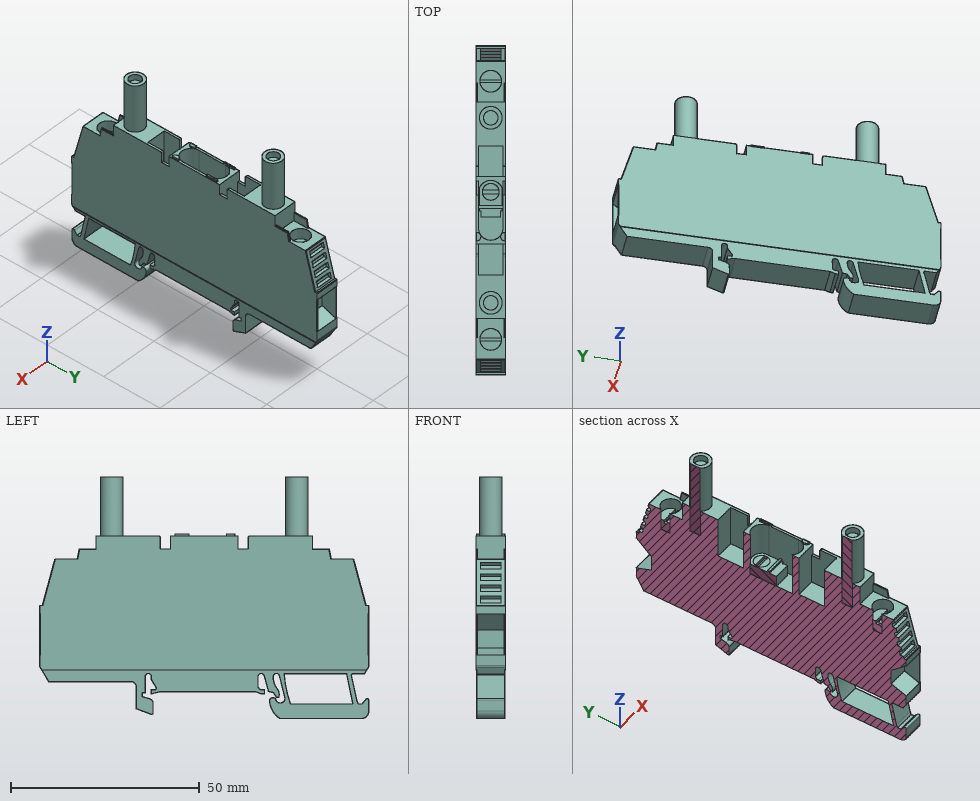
import cadquery as cq

LENGTH = 87.2
THICKNESS = 7.9
HEIGHT = 64.0
HALF_LENGTH = LENGTH / 2
HALF_THICKNESS = THICKNESS / 2
ENDS = (-1, 1)
SIDES = (-1, 1)
MARGIN = 0.1

BODY_BASE_Z = 12.9
CORNER_Z = 13.8
CORNER_SLOPE = 0.6
CORNER_RADIUS = 0.9
SHOULDER_Z = 30.0
SHOULDER_DEPTH = 0.7
END_TOP_Y = 39.6
END_TOP_Z = 42.3
GUARD_TOP_Z = 45.0
GUARD_BASE_Y = 33.65
GUARD_TOP_Y = 33.1
BLOCK_Y = 28.7
BODY_TOP_Z = 48.4
GUARD_WALL = 0.5
EDGE_CHAMFER = 0.2

SLOT_START_Y = 9.0
SLOT_WIDTH = 2.6
SLOT_CORNER = 0.4
POCKET_END_Y = 17.1
POCKET_WIDTH = 6.45
POCKET_DEPTH = 13.1
WELL_LENGTH = 15.9
WELL_WIDTH = POCKET_WIDTH
WELL_DEPTH = 13.95

GROOVE_COUNT = 4
GROOVE_PITCH = 3.0
GROOVE_TOP_GAP = 1.0
GROOVE_HEIGHT = 1.75
GROOVE_WIDTH = 5.4
GROOVE_DEPTH = 1.05
GROOVE_BACK_HEIGHT = 1.0

FUNNEL_TOP_Z = 27.7
FUNNEL_BOTTOM_Z = 16.9
FUNNEL_BACK_TOP_Z = 23.45
FUNNEL_BACK_BOTTOM_Z = 18.75
FUNNEL_DEPTH = 4.9
FUNNEL_WIDTH = 7.1

MARK_HEIGHT = 0.5
MARK_OUTER_X = 3.75
MARK_BAR_START_Y = 4.0
MARK_BAR_LENGTH = 3.75
MARK_NUB_Y = -7.0
MARK_NUB_RADIUS = 1.1

FOOT_THICKNESS = 7.5
WEB_BASE_Z = 11.9
TRAY_Z = 3.9
TRAY_RADIUS = 2.0
HOOK_BASE_Z = 9.8

SOCKET_Y = 24.5
SOCKET_DIAMETER = 6.0
SOCKET_BORE = 3.8
SOCKET_BORE_DEPTH = 1.9
SOCKET_SEAT_DEPTH = 8.7

CLAMP_SCREW_Y = 34.2
CLAMP_SCREW_DIAMETER = 5.75
CLAMP_HOLE_DEPTH = 7.0
CLAMP_SCREW_LENGTH = 3.5
CLAMP_SLOT_WIDTH = 0.8

SLIDER_SCREW_Y = 4.9
SLIDER_SCREW_DIAMETER = 4.45
SLIDER_SCREW_LENGTH = 2.6
SLIDER_SLOT_WIDTH = 1.05
SCREW_SLOT_DEPTH = 0.9

SLIDER_HEIGHT = 3.5
SLIDER_WIDTH = 5.9
SLIDER_BACK_Y = WELL_LENGTH / 2
SLIDER_FRONT_Y = -0.2
SLIDER_RIB_Y = 0.9
SLIDER_RIB_WIDTH = 0.7
SLIDER_RIB_HEIGHT = 0.5
TONGUE_WIDTH = 5.1
TONGUE_END_Y = -1.75

WELL_FLOOR_Z = BODY_TOP_Z - WELL_DEPTH


def prism(outline, thickness):
    """Extrude a closed Y-Z outline evenly about X = 0."""
    return outline.extrude(thickness / 2, both=True)


def box(width, y_start, y_end, z_start, z_end):
    """Box centred on X = 0 between two Y and two Z levels."""
    return cq.Workplane("XY").box(width, abs(y_end - y_start), z_end - z_start).translate(
        (0, (y_start + y_end) / 2, (z_start + z_end) / 2)
    )


def cylinder(diameter, x, y, z_start, z_end):
    """Upright cylinder between two Z levels."""
    return cq.Workplane("XY", origin=(x, y, z_start)).circle(diameter / 2).extrude(z_end - z_start)


def stadium(length, width, z_start, z_end):
    """Upright round-ended bar lying along Y, centred on the origin."""
    return cq.Workplane("XY", origin=(0, 0, z_start)).slot2D(length, width, 90).extrude(z_end - z_start)


def edges_within(y_start, y_end, z_start, z_end):
    """Selector for edges whose middle lies between two Y and two Z levels."""
    return cq.selectors.BoxSelector(
        (-THICKNESS, min(y_start, y_end) - MARGIN, z_start - MARGIN),
        (THICKNESS, max(y_start, y_end) + MARGIN, z_end + MARGIN),
    )


def lower_corner_y(z):
    """Distance of the sloping lower end corner from the centre at height z."""
    return HALF_LENGTH - CORNER_SLOPE * (CORNER_Z - z)


def body_block():
    """Main body with a sloping shoulder at each end and chamfered slope and guard edges."""
    half = [
        (lower_corner_y(BODY_BASE_Z), BODY_BASE_Z),
        (HALF_LENGTH, CORNER_Z),
        (HALF_LENGTH, SHOULDER_Z),
        (HALF_LENGTH - SHOULDER_DEPTH, SHOULDER_Z),
        (END_TOP_Y, END_TOP_Z),
        (GUARD_BASE_Y, END_TOP_Z),
        (GUARD_TOP_Y, GUARD_TOP_Z),
        (BLOCK_Y, GUARD_TOP_Z),
        (BLOCK_Y, BODY_TOP_Z),
    ]
    mirrored = [(-y, z) for y, z in reversed(half)]
    block = prism(cq.Workplane("YZ").polyline(half + mirrored).close(), THICKNESS)
    lower_corners = edges_within(-LENGTH, LENGTH, CORNER_Z, CORNER_Z)
    block = block.edges("|X").edges(lower_corners).fillet(CORNER_RADIUS)
    shoulders = edges_within(-LENGTH, LENGTH, SHOULDER_Z, SHOULDER_Z)
    block = block.edges("|X").edges(shoulders).edges(">Y or <Y").chamfer(EDGE_CHAMFER)
    slope_middle_z = (SHOULDER_Z + END_TOP_Z) / 2
    guard_middle_z = (END_TOP_Z + GUARD_TOP_Z) / 2
    for end in ENDS:
        slope_edges = edges_within(end * END_TOP_Y, end * HALF_LENGTH, slope_middle_z, END_TOP_Z)
        block = block.edges(slope_edges).chamfer(EDGE_CHAMFER)
        guard_edges = edges_within(end * BLOCK_Y, end * GUARD_BASE_Y, guard_middle_z, GUARD_TOP_Z)
        block = block.edges("not |X").edges(guard_edges).chamfer(EDGE_CHAMFER)
    return block


def rail_foot():
    """Clip foot: fixed hook, rail seat, sprung latch arm and release tray, with the tray window cut out."""
    outline = (
        cq.Workplane("YZ")
        .moveTo(lower_corner_y(BODY_BASE_Z), BODY_BASE_Z)
        .lineTo(lower_corner_y(HOOK_BASE_Z), HOOK_BASE_Z)
        .lineTo(19.35, HOOK_BASE_Z)
        .radiusArc((18.05, 8.5), -1.3)
        .lineTo(18.05, 2.6)
        .lineTo(13.9, 1.05)
        .lineTo(13.5, 1.3)
        .lineTo(13.5, 4.4)
        .threePointArc((13.95, 5.0), (14.6, 5.3))
        .lineTo(16.4, 5.8)
        .lineTo(16.4, 6.8)
        .lineTo(15.6, 6.8)
        .lineTo(15.6, 11.3)
        .threePointArc((14.8, 11.95), (14.0, 11.3))
        .lineTo(14.0, 10.4)
        .lineTo(12.7, 8.2)
        .lineTo(12.8, 7.7)
        .lineTo(14.0, 7.7)
        .lineTo(14.0, 6.5)
        .lineTo(11.95, 7.1)
        .lineTo(-13.7, 7.1)
        .lineTo(-15.1, 6.5)
        .lineTo(-15.95, 6.5)
        .lineTo(-15.95, 7.7)
        .lineTo(-15.2, 7.7)
        .threePointArc((-14.6, 7.9), (-14.3, 8.4))
        .lineTo(-14.3, 11.3)
        .threePointArc((-15.1, 11.95), (-15.9, 11.3))
        .lineTo(-17.0, 7.15)
        .lineTo(-18.3, 6.9)
        .lineTo(-19.1, 5.7)
        .lineTo(-19.8, 5.7)
        .threePointArc((-19.8, 7.0), (-19.2, 8.1))
        .threePointArc((-18.5, 9.6), (-18.3, 11.3))
        .threePointArc((-19.1, 11.95), (-19.9, 11.3))
        .lineTo(-21.4, 5.4)
        .threePointArc((-20.3, 4.2), (-18.9, 5.2))
        .threePointArc((-18.0, 5.6), (-17.3, 4.6))
        .threePointArc((-18.0, 2.3), (-20.05, 0))
        .lineTo(TRAY_RADIUS - HALF_LENGTH, 0)
        .radiusArc((-HALF_LENGTH, TRAY_RADIUS), TRAY_RADIUS)
        .lineTo(-HALF_LENGTH, 4.9)
        .threePointArc((-43.15, 5.3), (-42.7, 5.1))
        .lineTo(-41.8, TRAY_Z)
        .lineTo(-40.8, TRAY_Z)
        .lineTo(-40.45, 4.7)
        .lineTo(-39.0, 11.5)
        .lineTo(-39.15, WEB_BASE_Z)
        .lineTo(-lower_corner_y(WEB_BASE_Z), WEB_BASE_Z)
        .lineTo(-lower_corner_y(BODY_BASE_Z), BODY_BASE_Z)
        .close()
    )
    window = (
        cq.Workplane("YZ")
        .moveTo(-21.2, WEB_BASE_Z)
        .lineTo(-37.7, WEB_BASE_Z)
        .lineTo(-39.3, TRAY_Z)
        .lineTo(-22.8, TRAY_Z)
        .threePointArc((-21.8, 7.7), (-21.2, WEB_BASE_Z))
        .close()
    )
    return prism(outline, FOOT_THICKNESS).cut(prism(window, THICKNESS))


def guard_gap(end):
    """Open space between the two guard walls beside a clamp screw."""
    width = THICKNESS - 2 * GUARD_WALL
    return box(width, end * BLOCK_Y, end * GUARD_BASE_Y, END_TOP_Z, GUARD_TOP_Z)


def marker_pocket(end):
    """Deep pocket in the top, opened sideways by a slot with rounded outer corners."""
    pocket = box(
        POCKET_WIDTH, end * SLOT_START_Y, end * POCKET_END_Y, BODY_TOP_Z - POCKET_DEPTH, BODY_TOP_Z
    )
    near = end * SLOT_START_Y
    far = end * (SLOT_START_Y + SLOT_WIDTH)
    slot_outline = (
        cq.Workplane("YZ")
        .moveTo(near, GUARD_TOP_Z)
        .lineTo(far, GUARD_TOP_Z)
        .lineTo(far, BODY_TOP_Z - SLOT_CORNER)
        .radiusArc((far + end * SLOT_CORNER, BODY_TOP_Z), end * SLOT_CORNER)
        .lineTo(near, BODY_TOP_Z)
        .close()
    )
    return pocket.union(prism(slot_outline, THICKNESS))


def slope_y(z):
    """Y of the -Y slope at height z."""
    fraction = (END_TOP_Z - z) / (END_TOP_Z - SHOULDER_Z)
    return -END_TOP_Y - fraction * (HALF_LENGTH - SHOULDER_DEPTH - END_TOP_Y)


def grip_grooves():
    """Grooves in the -Y slope: level floor, back parallel to the slope, ceiling falling inwards."""
    grooves = []
    for i in range(GROOVE_COUNT):
        top = END_TOP_Z - GROOVE_TOP_GAP - i * GROOVE_PITCH
        floor = top - GROOVE_HEIGHT
        back_top = floor + GROOVE_BACK_HEIGHT
        section = cq.Workplane("YZ").polyline(
            [
                (slope_y(top), top),
                (slope_y(back_top) + GROOVE_DEPTH, back_top),
                (slope_y(floor) + GROOVE_DEPTH, floor),
                (slope_y(floor), floor),
            ]
        )
        grooves.append(prism(section.close(), GROOVE_WIDTH))
    return grooves


def wire_funnel():
    """Wire entry in the -Y end, narrowing inwards in height, with bevelled side edges."""
    back_y = -HALF_LENGTH + FUNNEL_DEPTH
    funnel = cq.Workplane("YZ").polyline(
        [
            (-HALF_LENGTH, FUNNEL_BOTTOM_Z),
            (back_y, FUNNEL_BACK_BOTTOM_Z),
            (back_y, FUNNEL_BACK_TOP_Z),
            (-HALF_LENGTH, FUNNEL_TOP_Z),
        ]
    )
    side_bevel = (
        cq.Workplane("XY", origin=(0, 0, FUNNEL_BOTTOM_Z))
        .polyline(
            [
                (HALF_THICKNESS, -HALF_LENGTH),
                (HALF_THICKNESS, -HALF_LENGTH + EDGE_CHAMFER),
                (HALF_THICKNESS - EDGE_CHAMFER, -HALF_LENGTH),
            ]
        )
        .close()
        .extrude(FUNNEL_TOP_Z - FUNNEL_BOTTOM_Z)
    )
    return prism(funnel.close(), FUNNEL_WIDTH).union(side_bevel).union(side_bevel.mirror("YZ"))


def raised_marks():
    """Two bars and two nubs beside the centre well, flush with its edge."""
    mark_top = BODY_TOP_Z + MARK_HEIGHT
    marks = box(
        2 * MARK_OUTER_X, MARK_BAR_START_Y, MARK_BAR_START_Y + MARK_BAR_LENGTH, BODY_TOP_Z, mark_top
    )
    marks = marks.cut(box(WELL_WIDTH, 0, SLOT_START_Y, BODY_TOP_Z, mark_top))
    limits = box(2 * MARK_OUTER_X, -SLOT_START_Y, SLOT_START_Y, BODY_TOP_Z, mark_top)
    for side in SIDES:
        nub = cylinder(2 * MARK_NUB_RADIUS, side * MARK_OUTER_X, MARK_NUB_Y, BODY_TOP_Z, mark_top)
        marks = marks.union(nub.intersect(limits))
    return marks


def make_housing():
    """Housing with its foot, marks and every opening."""
    housing = body_block().union(rail_foot()).union(raised_marks())
    housing = housing.cut(stadium(WELL_LENGTH, WELL_WIDTH, WELL_FLOOR_Z, HEIGHT))
    end_cuts = [*grip_grooves(), wire_funnel()]
    for end in ENDS:
        socket_seat = cylinder(
            SOCKET_DIAMETER, 0, end * SOCKET_Y, BODY_TOP_Z - SOCKET_SEAT_DEPTH, BODY_TOP_Z
        )
        clamp_hole = cylinder(
            CLAMP_SCREW_DIAMETER, 0, end * CLAMP_SCREW_Y, END_TOP_Z - CLAMP_HOLE_DEPTH, END_TOP_Z
        )
        housing = housing.cut(guard_gap(end)).cut(marker_pocket(end)).cut(socket_seat).cut(clamp_hole)
    for end_cut in end_cuts:
        housing = housing.cut(end_cut).cut(end_cut.mirror("XZ"))
    return housing


def make_socket(y):
    """Test socket: round tube with a blind bore in its top."""
    tube = cylinder(SOCKET_DIAMETER, 0, y, BODY_TOP_Z - SOCKET_SEAT_DEPTH, HEIGHT)
    return tube.cut(cylinder(SOCKET_BORE, 0, y, HEIGHT - SOCKET_BORE_DEPTH, HEIGHT))


def make_screw(diameter, length, slot_width, y, base_z):
    """Slotted screw head with the slot along X."""
    top_z = base_z + length
    head = cylinder(diameter, 0, y, base_z, top_z)
    slot = box(diameter, y - slot_width / 2, y + slot_width / 2, top_z - SCREW_SLOT_DEPTH, top_z)
    return head.cut(slot)


def make_slider():
    """Disconnect slider on the floor of the centre well, with a cross rib, a tongue and a screw seat."""
    top_z = WELL_FLOOR_Z + SLIDER_HEIGHT
    rib_start = SLIDER_RIB_Y - SLIDER_RIB_WIDTH / 2
    rib_end = SLIDER_RIB_Y + SLIDER_RIB_WIDTH / 2
    rib_top = top_z + SLIDER_RIB_HEIGHT
    slider = (
        box(SLIDER_WIDTH, SLIDER_FRONT_Y, SLIDER_BACK_Y, WELL_FLOOR_Z, top_z)
        .union(box(WELL_WIDTH, rib_start, rib_end, WELL_FLOOR_Z, rib_top))
        .union(box(TONGUE_WIDTH, TONGUE_END_Y, SLIDER_FRONT_Y, WELL_FLOOR_Z, top_z))
        .intersect(stadium(WELL_LENGTH, WELL_WIDTH, WELL_FLOOR_Z, HEIGHT))
    )
    return slider.cut(
        cylinder(SLIDER_SCREW_DIAMETER, 0, SLIDER_SCREW_Y, top_z - SLIDER_SCREW_LENGTH, top_z)
    )


housing = make_housing()
sockets = [make_socket(end * SOCKET_Y) for end in ENDS]
clamp_screws = [
    make_screw(
        CLAMP_SCREW_DIAMETER,
        CLAMP_SCREW_LENGTH,
        CLAMP_SLOT_WIDTH,
        end * CLAMP_SCREW_Y,
        END_TOP_Z - CLAMP_HOLE_DEPTH,
    )
    for end in ENDS
]
slider = make_slider()
slider_screw = make_screw(
    SLIDER_SCREW_DIAMETER,
    SLIDER_SCREW_LENGTH,
    SLIDER_SLOT_WIDTH,
    SLIDER_SCREW_Y,
    WELL_FLOOR_Z + SLIDER_HEIGHT - SLIDER_SCREW_LENGTH,
)

result = cq.Compound.makeCompound(
    [
        housing.val(),
        *[socket.val() for socket in sockets],
        *[screw.val() for screw in clamp_screws],
        slider.val(),
        slider_screw.val(),
    ]
)